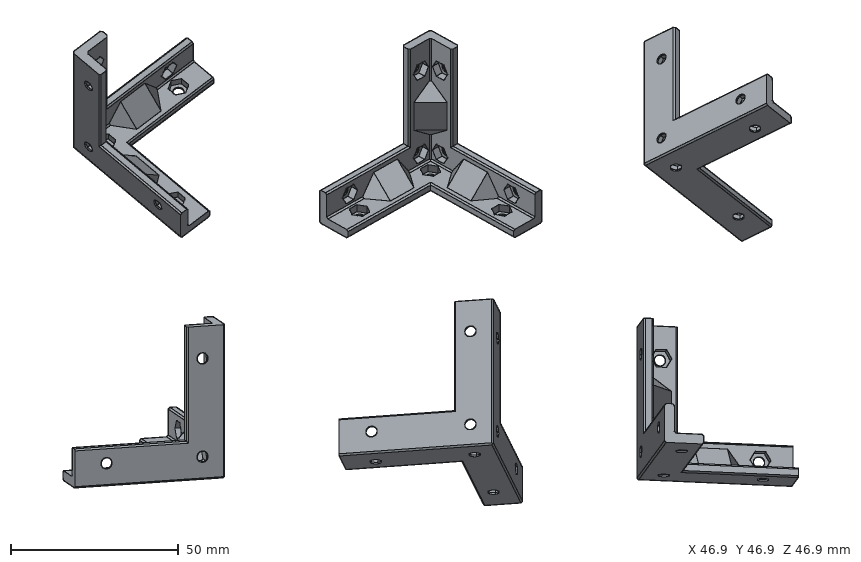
import cadquery as cq

length = 46.9
wall = 3.0
arm_width = 11.95

chamfer = 0.5
inner_fill = 0.5

hole_diameter = 3.4
hole_near = 7.0
hole_pitch = 30.0
hole_far = hole_near + hole_pitch
nut_across_corners = 6.3
nut_depth = 2.5

gusset_leg = 7.0
gusset_flat = 10.0
gusset_taper = 5.0
gusset_center = hole_near + hole_pitch / 2


def make_rim_cutter(z_face, depth):
    """Square frustum that bevels both inside edges of the L, widest at z_face."""
    side = length - arm_width + 2 * chamfer
    center = (length + arm_width) / 2
    return cq.Workplane("XY", origin=(center, center, z_face)).rect(side, side).extrude(depth, taper=45)


def make_plate():
    """L-shaped plate lying on the XY plane, with bevelled inside edges."""
    outline = [
        (0, 0),
        (length, 0),
        (length, arm_width),
        (arm_width, arm_width),
        (arm_width, length),
        (0, length),
    ]
    plate = cq.Workplane("XY").polyline(outline).close().extrude(wall)
    outer_bevel = make_rim_cutter(0, chamfer)
    inner_bevel = make_rim_cutter(wall, -chamfer)
    return plate.cut(outer_bevel).cut(inner_bevel)


def make_inner_fill():
    """Sloped fill along X between the plates on the XY and XZ planes."""
    profile = [(0, 0), (inner_fill, 0), (0, inner_fill)]
    return cq.Workplane("YZ", origin=(wall, wall, wall)).polyline(profile).close().extrude(length - wall)


def make_gusset():
    """Triangular gusset along X whose ends taper to points in the inner corner."""
    def section(x):
        return (
            cq.Vector(x, wall, wall),
            cq.Vector(x, wall + gusset_leg, wall),
            cq.Vector(x, wall, wall + gusset_leg),
        )

    half_flat = gusset_flat / 2
    corner_a, floor_a, side_a = section(gusset_center - half_flat)
    corner_b, floor_b, side_b = section(gusset_center + half_flat)
    tip_a = corner_a - cq.Vector(gusset_taper, 0, 0)
    tip_b = corner_b + cq.Vector(gusset_taper, 0, 0)
    outlines = [
        (tip_a, floor_a, floor_b, tip_b),
        (tip_a, tip_b, side_b, side_a),
        (floor_a, side_a, side_b, floor_b),
        (tip_a, side_a, floor_a),
        (tip_b, floor_b, side_b),
    ]
    faces = [cq.Face.makeFromWires(cq.Wire.makePolygon(points, close=True)) for points in outlines]
    return cq.Workplane(cq.Solid.makeSolid(cq.Shell.makeShell(faces)))


def make_fastener_cutter(nut_turn):
    """Screw holes through the XY plate, with nut pockets on its inner side.

    The nut corners point along X, turned by nut_turn degrees about Z.
    """
    hole = cq.Workplane("XY").circle(hole_diameter / 2).extrude(wall)
    pocket_floor = cq.Workplane("XY", origin=(0, 0, wall - nut_depth))
    pocket = pocket_floor.polygon(6, nut_across_corners).extrude(nut_depth)
    fastener = hole.union(pocket.rotate((0, 0, 0), (0, 0, 1), nut_turn))
    cutter = fastener.translate((hole_near, hole_near, 0))
    for center in ((hole_far, hole_near, 0), (hole_near, hole_far, 0)):
        cutter = cutter.union(fastener.translate(center))
    return cutter


def make_outer_edge_cutter():
    """Bevel along the outer corner edge on the X axis."""
    profile = [(0, 0), (chamfer, 0), (0, chamfer)]
    return cq.Workplane("YZ").polyline(profile).close().extrude(length)


def turn(body, angle):
    """Turn a body about the (1, 1, 1) diagonal; 120 degrees takes X to Y, Y to Z and Z to X."""
    return body.rotate((0, 0, 0), (1, 1, 1), angle)


plate = make_plate()
inner_fill_bar = make_inner_fill()
gusset = make_gusset()
outer_edge_cutter = make_outer_edge_cutter()

result = plate
for angle in (120, 240):
    result = result.union(turn(plate, angle))
for angle in (0, 120, 240):
    result = result.union(turn(inner_fill_bar, angle))
    result = result.union(turn(gusset, angle))

for angle, nut_turn in ((0, 0), (120, 0), (240, 90)):
    result = result.cut(turn(make_fastener_cutter(nut_turn), angle))
    result = result.cut(turn(outer_edge_cutter, angle))